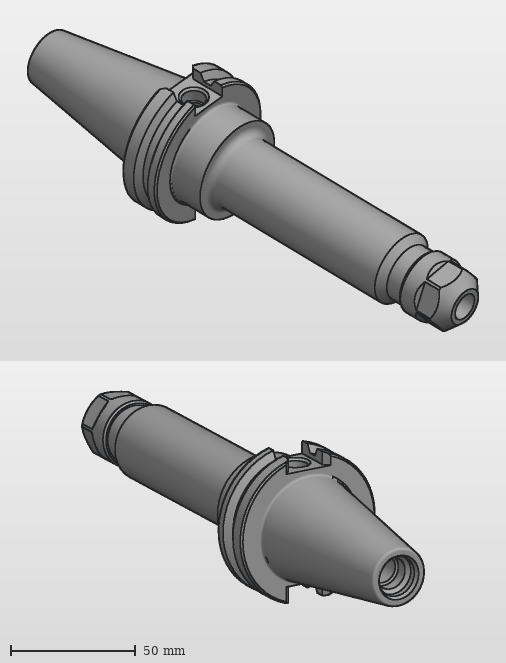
import cadquery as cq
import math

TOTAL_LENGTH = 226.2
BORE_RADIUS = 11.5 / 2

TAPER_LARGE_RADIUS = 44.3 / 2
TAPER_RATE = 7 / 24
TAPER_TIP_FILLET = 1.1

FLANGE_START_X = 69.2
FLANGE_END_X = 87.5
FLANGE_RADIUS = 63.4 / 2
FLANGE_CHAMFER = 0.8
FLANGE_ROOT_FILLET = 1.02
GROOVE_CENTRE_X = 79.5
GROOVE_FLOOR_RADIUS = 28.3
GROOVE_FLOOR_WIDTH = 3.6
GROOVE_SIDE_ANGLE = 30.0

SLOT_WIDTH = 16.0
SLOT_MOUTH_CHAMFER = 2.5
UPPER_SLOT_FLOOR = 25.1
LOWER_SLOT_FLOOR = 22.9
HOLE_MOUTH_DIAMETER = 12.2
HOLE_DIAMETER = 10.2
HOLE_DEPTH = 6.3
HOLE_DRILL_DIAMETER = 8.0
HOLE_DRILL_DEPTH = 8.0
DRILL_POINT_ANGLE = 118.0

COLLAR_RADIUS = 44.3 / 2
COLLAR_END_X = 103.0
EXTENSION_RADIUS = 31.7 / 2
EXTENSION_ROOT_FILLET = 3.5
EXTENSION_END_X = 191.9
NOSE_RADIUS = 25.0 / 2

MOUTH_RADIUS = 18.5 / 2
MOUTH_DEPTH = 1.8
PILOT_RADIUS = 16.7 / 2
PILOT_END_X = 4.5
THREAD_RADIUS = 13.3 / 2
THREAD_END_X = 11.3

NUT_START_X = 203.0
NUT_RADIUS = 28.0 / 2
NUT_BACK_CHAMFER_LENGTH = 1.1
NUT_BACK_CHAMFER_HEIGHT = 0.8
NUT_TIP_RADIUS = 16.0 / 2
HEX_ACROSS_FLATS = 25.0
HEX_START_X = 212.7
HEX_RUNOUT = 1.5
HEX_TURN = 6.0


def turned(outline):
    """Solid of revolution about X of a closed outline drawn as X against radius."""
    return outline.close().revolve(360, (0, 0, 0), (1, 0, 0))


def holder_blank():
    root_start_x = FLANGE_START_X - FLANGE_ROOT_FILLET
    taper_tip_radius = TAPER_LARGE_RADIUS - root_start_x * TAPER_RATE / 2
    root_end_x = FLANGE_END_X + FLANGE_ROOT_FILLET
    diagonal = math.sqrt(0.5)
    arc_inset = FLANGE_ROOT_FILLET * (1 - diagonal)
    extension_inset = EXTENSION_ROOT_FILLET * (1 - diagonal)
    shoulder_width = EXTENSION_RADIUS - NOSE_RADIUS
    outline = (
        cq.Workplane("XY")
        .moveTo(0, 0)
        .lineTo(0, taper_tip_radius)
        .lineTo(root_start_x, TAPER_LARGE_RADIUS)
        .threePointArc(
            (FLANGE_START_X - arc_inset, TAPER_LARGE_RADIUS + arc_inset),
            (FLANGE_START_X, TAPER_LARGE_RADIUS + FLANGE_ROOT_FILLET),
        )
        .lineTo(FLANGE_START_X, FLANGE_RADIUS - FLANGE_CHAMFER)
        .lineTo(FLANGE_START_X + FLANGE_CHAMFER, FLANGE_RADIUS)
        .lineTo(FLANGE_END_X - FLANGE_CHAMFER, FLANGE_RADIUS)
        .lineTo(FLANGE_END_X, FLANGE_RADIUS - FLANGE_CHAMFER)
        .lineTo(FLANGE_END_X, COLLAR_RADIUS + FLANGE_ROOT_FILLET)
        .threePointArc(
            (FLANGE_END_X + arc_inset, COLLAR_RADIUS + arc_inset),
            (root_end_x, COLLAR_RADIUS),
        )
        .lineTo(COLLAR_END_X, COLLAR_RADIUS)
        .lineTo(COLLAR_END_X, EXTENSION_RADIUS + EXTENSION_ROOT_FILLET)
        .threePointArc(
            (COLLAR_END_X + extension_inset, EXTENSION_RADIUS + extension_inset),
            (COLLAR_END_X + EXTENSION_ROOT_FILLET, EXTENSION_RADIUS),
        )
        .lineTo(EXTENSION_END_X, EXTENSION_RADIUS)
        .lineTo(EXTENSION_END_X + shoulder_width, NOSE_RADIUS)
        .lineTo(NUT_START_X, NOSE_RADIUS)
        .lineTo(NUT_START_X, 0)
    )
    return turned(outline).faces("<X").edges().fillet(TAPER_TIP_FILLET)


def gripper_groove():
    floor_half = GROOVE_FLOOR_WIDTH / 2
    flare = (FLANGE_RADIUS - GROOVE_FLOOR_RADIUS) * math.tan(math.radians(GROOVE_SIDE_ANGLE))
    mouth_half = floor_half + flare
    outline = (
        cq.Workplane("XY")
        .moveTo(GROOVE_CENTRE_X - floor_half, GROOVE_FLOOR_RADIUS)
        .lineTo(GROOVE_CENTRE_X - mouth_half, FLANGE_RADIUS)
        .lineTo(GROOVE_CENTRE_X + mouth_half, FLANGE_RADIUS)
        .lineTo(GROOVE_CENTRE_X + floor_half, GROOVE_FLOOR_RADIUS)
    )
    return turned(outline)


def drive_slot(floor):
    """Slot across the top of the flange, widened by a chamfer at the taper side."""
    half = SLOT_WIDTH / 2
    mouth_half = half + SLOT_MOUTH_CHAMFER
    start_x = FLANGE_START_X - FLANGE_ROOT_FILLET
    chamfer_end_x = FLANGE_START_X + SLOT_MOUTH_CHAMFER
    end_x = FLANGE_END_X + FLANGE_ROOT_FILLET
    return (
        cq.Workplane("XY", origin=(0, 0, floor))
        .moveTo(start_x, -mouth_half)
        .lineTo(FLANGE_START_X, -mouth_half)
        .lineTo(chamfer_end_x, -half)
        .lineTo(end_x, -half)
        .lineTo(end_x, half)
        .lineTo(chamfer_end_x, half)
        .lineTo(FLANGE_START_X, mouth_half)
        .lineTo(start_x, mouth_half)
        .close()
        .extrude(FLANGE_RADIUS - floor)
    )


def slot_hole():
    """Countersunk stepped hole with a drill point, going down from the upper slot floor."""
    mouth_radius = HOLE_MOUTH_DIAMETER / 2
    radius = HOLE_DIAMETER / 2
    drill_radius = HOLE_DRILL_DIAMETER / 2
    countersink = mouth_radius - radius
    point_depth = drill_radius / math.tan(math.radians(DRILL_POINT_ANGLE / 2))
    return (
        cq.Workplane("XZ", origin=(GROOVE_CENTRE_X, 0, UPPER_SLOT_FLOOR))
        .moveTo(0, 0)
        .lineTo(mouth_radius, 0)
        .lineTo(radius, -countersink)
        .lineTo(radius, -HOLE_DEPTH)
        .lineTo(drill_radius, -HOLE_DEPTH)
        .lineTo(drill_radius, -HOLE_DRILL_DEPTH)
        .lineTo(0, -HOLE_DRILL_DEPTH - point_depth)
        .close()
        .revolve(360, (0, 0, 0), (0, 1, 0))
    )


def holder_bore():
    pilot_step = PILOT_RADIUS - THREAD_RADIUS
    thread_step = THREAD_RADIUS - BORE_RADIUS
    outline = (
        cq.Workplane("XY")
        .moveTo(0, 0)
        .lineTo(0, MOUTH_RADIUS)
        .lineTo(MOUTH_DEPTH, PILOT_RADIUS)
        .lineTo(PILOT_END_X, PILOT_RADIUS)
        .lineTo(PILOT_END_X + pilot_step, THREAD_RADIUS)
        .lineTo(THREAD_END_X, THREAD_RADIUS)
        .lineTo(THREAD_END_X + thread_step, BORE_RADIUS)
        .lineTo(NUT_START_X, BORE_RADIUS)
        .lineTo(NUT_START_X, 0)
    )
    return turned(outline)


def make_holder():
    lower_slot = drive_slot(LOWER_SLOT_FLOOR).rotate((0, 0, 0), (1, 0, 0), 180)
    return (
        holder_blank()
        .cut(gripper_groove())
        .cut(drive_slot(UPPER_SLOT_FLOOR))
        .cut(lower_slot)
        .cut(slot_hole())
        .cut(holder_bore())
    )


def nut_blank():
    cone_start_x = TOTAL_LENGTH - (NUT_RADIUS - NUT_TIP_RADIUS)
    outline = (
        cq.Workplane("XY")
        .moveTo(NUT_START_X, BORE_RADIUS)
        .lineTo(NUT_START_X, NUT_RADIUS - NUT_BACK_CHAMFER_HEIGHT)
        .lineTo(NUT_START_X + NUT_BACK_CHAMFER_LENGTH, NUT_RADIUS)
        .lineTo(cone_start_x, NUT_RADIUS)
        .lineTo(TOTAL_LENGTH, NUT_TIP_RADIUS)
        .lineTo(TOTAL_LENGTH, BORE_RADIUS)
    )
    return turned(outline)


def wrench_flat():
    """Cutter for the flat facing +Z, with a sloped run-out at its back end."""
    flat_height = HEX_ACROSS_FLATS / 2
    return (
        cq.Workplane("XZ")
        .moveTo(HEX_START_X - HEX_RUNOUT, NUT_RADIUS)
        .lineTo(HEX_START_X, flat_height)
        .lineTo(TOTAL_LENGTH, flat_height)
        .lineTo(TOTAL_LENGTH, NUT_RADIUS)
        .close()
        .extrude(NUT_RADIUS, both=True)
    )


def make_nut():
    nut = nut_blank()
    for index in range(6):
        angle = HEX_TURN + index * 60
        nut = nut.cut(wrench_flat().rotate((0, 0, 0), (1, 0, 0), angle))
    return nut


holder = make_holder()
nut = make_nut()

result = cq.Compound.makeCompound([holder.val(), nut.val()])